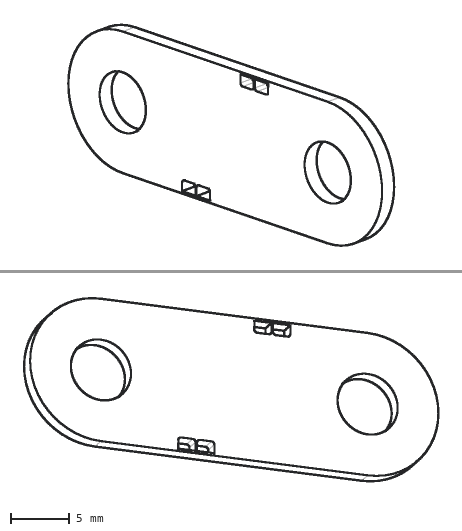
import cadquery as cq

length = 37.5
height = 13.0
thickness = 1.5

hole_diameter = 5.5
hole_spacing = length - height

window_width = 1.58
window_height = 1.05
window_gap = 0.15
edge_wall = 0.22
corner_radius = 0.25
pair_offset = 3.5


def back_plane():
    """Workplane on the +Y face of the plate; extrusions run toward -Y."""
    return cq.Workplane("XZ", origin=(0, thickness / 2, 0))


def make_plate():
    """Plate with rounded ends, centred through its thickness."""
    outline = back_plane().slot2D(length, height)
    return outline.extrude(thickness)


def make_end_holes():
    """Through cutters for the two end holes."""
    centers = [(-hole_spacing / 2, 0), (hole_spacing / 2, 0)]
    profile = back_plane().pushPoints(centers).circle(hole_diameter / 2)
    return profile.extrude(thickness)


def make_window_pair():
    """Cutters by the upper edge, with their inboard corners rounded."""
    center_z = height / 2 - edge_wall - window_height / 2
    pitch = window_width + window_gap
    centers = [(pair_offset + side * pitch / 2, center_z) for side in (-1, 1)]
    windows = (
        back_plane()
        .pushPoints(centers)
        .rect(window_width, window_height)
        .extrude(thickness)
    )
    inboard_corners = cq.selectors.BoxSelector(
        (-length, -thickness, 0), (length, thickness, center_z)
    )
    return windows.edges("|Y").edges(inboard_corners).fillet(corner_radius)


upper_windows = make_window_pair()
lower_windows = upper_windows.rotate((0, 0, 0), (0, 1, 0), 180)

result = make_plate().cut(make_end_holes()).cut(upper_windows).cut(lower_windows)